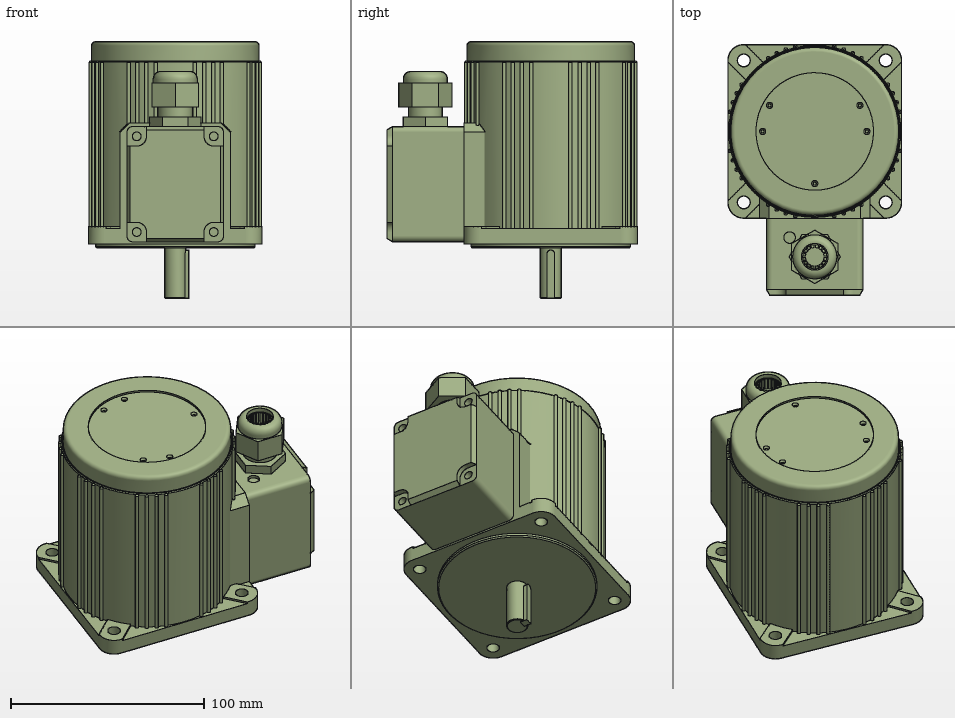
import cadquery as cq
import math


flange_side = 90.0
flange_thickness = 8.0
bolt_circle_radius = 52.0
bolt_hole_diameter = 6.5
boss_width = 12.8
boss_height = 9.0
spigot_diameter = 82.7
spigot_height = 2.0
spigot_chamfer = 0.7

shaft_length = 28.0
overall_height = 133.0
cover_height = 10.0
cover_radius = 43.5
cover_fillet = 2.3
barrel_radius = 44.5
barrel_chamfer = 0.5
rib_chamfer = 0.8
rib_radius = 0.9
rib_centre_radius = 45.0
rib_pitch_angle = 6.5
rib_steps = [2, 3, 4, 5]
recess_diameter = 60.9
recess_depth = 1.0
pit_circle_radius = 27.0
pit_angles = [0, 30, 150, 180, 270]
pit_diameter = 3.2
pit_floor_diameter = 1.6
pit_depth = 1.0

pad_width = 57.2
pad_top = 62.8
pad_corner_chamfer = 4.8
pad_root_fillet = 0.7

box_width = 50.0
box_bottom = 1.2
box_height = 59.7
box_depth = 37.0
box_edge_radius = 2.9
lid_thickness = 2.9
lid_taper = 30
screw_inset = 5.0
screw_hole_diameter = 4.5
screw_hole_depth = 5.0
blind_hole_diameter = 6.0
blind_hole_depth = 1.6
blind_hole_offset_x = -13.0
blind_hole_from_pad = 10.0

gland_from_pad = 20.0
base_hex_flats = 23.0
base_hex_height = 5.0
neck_diameter = 17.7
neck_height = 5.0
nut_hex_flats = 24.0
nut_hex_height = 12.5
dome_diameter = 22.9
dome_height = 6.0
dome_fillet = 4.0
mouth_diameter = 13.8
mouth_depth = 2.4
collar_diameter = 12.5
collar_height = 1.0
cable_bore_diameter = 9.6
cable_bore_depth = 8.0
slot_count = 16
slot_width = 0.7

shaft_diameter = 11.0
shaft_chamfer = 0.4
key_width = 4.0
key_height = 4.0
key_length = 25.0
key_top_from_axis = 7.0

top_z = overall_height - shaft_length
barrel_top = top_z - cover_height
pad_face_y = -flange_side / 2
box_end_y = pad_face_y - box_depth
box_top = box_bottom + box_height
box_centre_z = box_bottom + box_height / 2
bolt_offset = bolt_circle_radius / math.sqrt(2)
flange_corner_radius = flange_side / 2 - bolt_offset
gland_y = pad_face_y - gland_from_pad


def disc(diameter, z, height):
    """Cylinder on the motor axis, standing on height z."""
    return cq.Workplane("XY").workplane(offset=z).circle(diameter / 2).extrude(height)


def make_flange():
    """Square flange with raised bolt bosses across its diagonals and a centring spigot below."""

    def rounded_square(height):
        plate = cq.Workplane("XY").rect(flange_side, flange_side).extrude(height)
        return plate.edges("|Z").fillet(flange_corner_radius)

    diagonal = 2 * flange_side
    bosses = cq.Workplane("XY")
    for angle in (45, 135):
        bar = cq.Workplane("XY").rect(diagonal, boss_width).extrude(boss_height)
        bosses = bosses.add(bar.rotate((0, 0, 0), (0, 0, 1), angle))
    bosses = bosses.combine().intersect(rounded_square(boss_height))
    spigot = disc(spigot_diameter, -spigot_height, spigot_height).faces("<Z").chamfer(spigot_chamfer)
    flange = rounded_square(flange_thickness).union(bosses).union(spigot)
    holes = (
        cq.Workplane("XY")
        .rect(2 * bolt_offset, 2 * bolt_offset, forConstruction=True)
        .vertices()
        .circle(bolt_hole_diameter / 2)
        .extrude(boss_height)
    )
    return flange.cut(holes)


def make_pad():
    """Block with two chamfered top corners, from the motor axis to the flange front."""
    pad = (
        cq.Workplane("XY")
        .box(pad_width, -pad_face_y, pad_top, centered=(True, False, False))
        .translate((0, pad_face_y, 0))
    )
    return pad.edges("|Y and >Z").chamfer(pad_corner_chamfer)


def make_barrel_with_pad():
    """Barrel and pad, with a small fillet where the pad's sides and chamfers run into the barrel."""
    barrel = disc(2 * barrel_radius, 0, barrel_top).faces(">Z").chamfer(barrel_chamfer).union(make_pad())
    flat_half_width = pad_width / 2 - pad_corner_chamfer
    flat_end_y = -math.sqrt(barrel_radius**2 - flat_half_width**2)
    for side in (-1, 1):
        near_corner = (side * flat_half_width, flat_end_y, 0)
        far_corner = (side * pad_width, 0, pad_top)
        barrel = barrel.edges(cq.selectors.BoxSelector(near_corner, far_corner)).fillet(pad_root_fillet)
    return barrel


def make_ribs():
    octant = [step * rib_pitch_angle for step in rib_steps]
    quadrant = octant + [90 - angle for angle in octant]
    all_angles = [math.radians(angle + 90 * turn) for angle in quadrant for turn in range(4)]
    centres = [(rib_centre_radius * math.cos(a), rib_centre_radius * math.sin(a)) for a in all_angles]
    foot = flange_thickness / 2
    ribs = cq.Workplane("XY").workplane(offset=foot).pushPoints(centres).circle(rib_radius)
    return ribs.extrude(barrel_top - foot).faces(">Z").chamfer(rib_chamfer)


def cut_cover_details(housing):
    recess_floor = top_z - recess_depth
    housing = housing.cut(disc(recess_diameter, recess_floor, recess_depth))
    for angle in pit_angles:
        pit = (
            cq.Workplane("XY")
            .workplane(offset=recess_floor)
            .circle(pit_diameter / 2)
            .workplane(offset=-pit_depth)
            .circle(pit_floor_diameter / 2)
            .loft(ruled=True)
        )
        pit = pit.translate((pit_circle_radius, 0, 0)).rotate((0, 0, 0), (0, 0, 1), angle)
        housing = housing.cut(pit)
    return housing


def make_housing():
    cover = disc(2 * cover_radius, barrel_top, cover_height).faces(">Z").edges().fillet(cover_fillet)
    housing = make_flange().union(make_barrel_with_pad()).union(make_ribs()).union(cover)
    return cut_cover_details(housing)


def make_key():
    """Key on the +X side of the shaft, rounded at its upper end."""
    key_bottom = -shaft_length
    key_top = key_bottom + key_length
    half = key_width / 2
    return (
        cq.Workplane("YZ")
        .workplane(offset=key_top_from_axis - key_height)
        .moveTo(-half, key_bottom)
        .lineTo(half, key_bottom)
        .lineTo(half, key_top - half)
        .threePointArc((0, key_top), (-half, key_top - half))
        .close()
        .extrude(key_height)
    )


def make_shaft(key):
    """Shaft from the spigot face down, with the keyway cut into it."""
    shaft = disc(shaft_diameter, -shaft_length, shaft_length - spigot_height)
    return shaft.faces("<Z").chamfer(shaft_chamfer).cut(key)


def make_terminal_box():
    """Box on the pad's front face, closed by a tapered lid shape with four screw corners."""

    def front_plane(y):
        return cq.Workplane("XZ", origin=(0, y, box_centre_z))

    box = front_plane(pad_face_y).rect(box_width, box_height).extrude(box_depth)
    box = box.edges("|Y").fillet(box_edge_radius)
    lid = front_plane(box_end_y).sketch().rect(box_width, box_height).vertices().fillet(box_edge_radius)
    lid = lid.finalize().extrude(lid_thickness, taper=lid_taper)

    for side in (-1, 1):
        for level in (-1, 1):
            x = side * (box_width / 2 - screw_inset)
            z = level * (box_height / 2 - screw_inset)
            notch = front_plane(box_end_y).center(x, z).rect(2 * screw_inset, 2 * screw_inset)
            notch = notch.extrude(lid_thickness)
            inner = ("<X" if side > 0 else ">X") + " and " + ("<Z" if level > 0 else ">Z")
            notch = notch.edges("|Y").edges(inner).fillet(screw_inset)
            lid = lid.cut(notch)
            screw_hole = front_plane(box_end_y).center(x, z).circle(screw_hole_diameter / 2)
            box = box.cut(screw_hole.extrude(-screw_hole_depth))

    blind_hole = disc(blind_hole_diameter, box_top - blind_hole_depth, blind_hole_depth)
    blind_hole = blind_hole.translate((blind_hole_offset_x, pad_face_y - blind_hole_from_pad, 0))
    return box.union(lid).cut(blind_hole)


def make_gland():
    """Cable gland standing on the terminal box: base hexagon, neck, nut hexagon and rounded dome."""

    def hexagon(flats, z, height, turn):
        prism = cq.Workplane("XY").polygon(6, flats, circumscribed=True).extrude(height)
        return prism.rotate((0, 0, 0), (0, 0, 1), turn).translate((0, 0, z))

    neck_bottom = base_hex_height
    nut_bottom = neck_bottom + neck_height
    dome_bottom = nut_bottom + nut_hex_height
    gland_top = dome_bottom + dome_height

    gland = hexagon(base_hex_flats, 0, base_hex_height, 30)
    gland = gland.union(disc(neck_diameter, neck_bottom, neck_height))
    gland = gland.union(hexagon(nut_hex_flats, nut_bottom, nut_hex_height, 0))
    dome = disc(dome_diameter, dome_bottom, dome_height).faces(">Z").edges().fillet(dome_fillet)
    gland = gland.union(dome)

    mouth_floor = gland_top - mouth_depth
    gland = gland.cut(disc(mouth_diameter, mouth_floor, mouth_depth))
    collar = (
        cq.Workplane("XY")
        .workplane(offset=mouth_floor)
        .circle(collar_diameter / 2)
        .workplane(offset=collar_height)
        .circle(cable_bore_diameter / 2)
        .loft(ruled=True)
    )
    gland = gland.union(collar)
    bore_floor = gland_top - cable_bore_depth
    gland = gland.cut(disc(cable_bore_diameter, bore_floor, cable_bore_depth))
    slots = (
        cq.Workplane("XY")
        .workplane(offset=bore_floor)
        .polarArray(collar_diameter / 4, 0, 360, slot_count)
        .rect(collar_diameter / 2, slot_width)
        .extrude(cable_bore_depth)
    )
    gland = gland.cut(slots)
    return gland.translate((0, gland_y, box_top))


housing = make_housing()
key = make_key()
shaft = make_shaft(key)
terminal_box = make_terminal_box()
gland = make_gland()

result = cq.Compound.makeCompound(
    [housing.val(), shaft.val(), key.val(), terminal_box.val(), gland.val()]
)